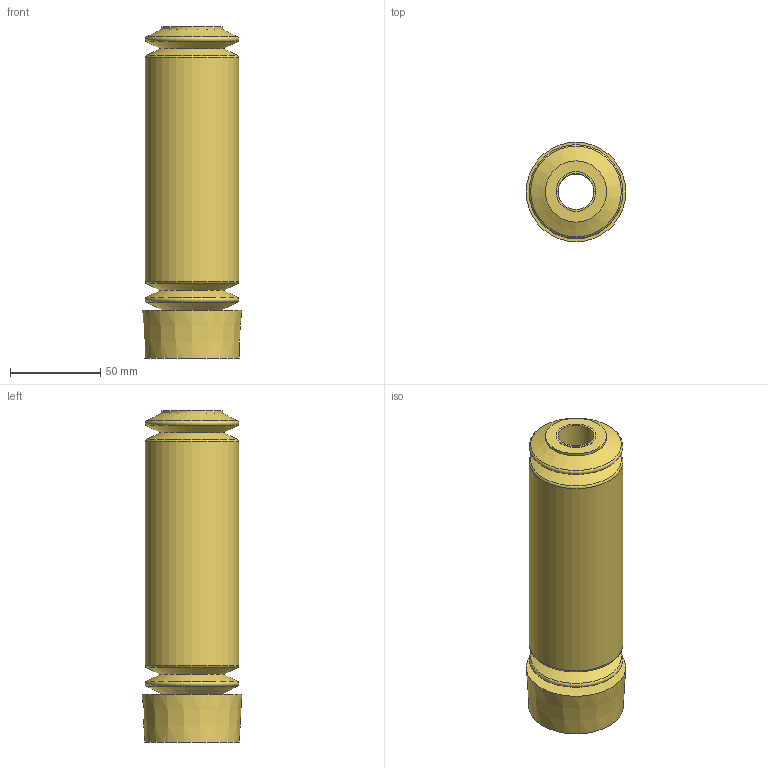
import cadquery as cq
import math

base_height = 26.6
body_top = 184.0
sleeve_top = 184.32

base_top_radius = 55.3 / 2
base_bottom_radius = 52.4 / 2
body_radius = 52.0 / 2
waist_radius = 35.2 / 2
boss_radius = 34.0 / 2
sleeve_radius = 22.0 / 2
bore_radius = 20.0 / 2

port_diameter = 11.45
port_height = 17.25

flank_angle = math.radians(27.0)
ridge_round = 1.5
lower_ridge_height = 32.3
upper_ridge_height = 177.0

round_centre_radius = body_radius - ridge_round

flank_rise = (
    ridge_round / math.cos(flank_angle)
    + (round_centre_radius - waist_radius) * math.tan(flank_angle)
)

lower_waist_height = lower_ridge_height + flank_rise
upper_waist_height = upper_ridge_height - flank_rise
barrel_bottom = lower_waist_height + flank_rise
barrel_top = upper_waist_height - flank_rise


def round_point(centre_height, angle):
    """Point on a ridge round, with the angle measured up from horizontal."""
    return (
        round_centre_radius + ridge_round * math.cos(angle),
        centre_height + ridge_round * math.sin(angle),
    )


def flank_radius(ridge_height, height):
    """Radius where a ridge's straight flank reaches the given height."""
    drop = abs(height - ridge_height) - ridge_round / math.cos(flank_angle)
    return round_centre_radius - drop / math.tan(flank_angle)


def flank_height(ridge_height, radius):
    """Height where a ridge's upper flank reaches the given radius."""
    run = (round_centre_radius - radius) * math.tan(flank_angle)
    return ridge_height + ridge_round / math.cos(flank_angle) + run


def half_profile():
    """Right half of the section, from the bore outwards and up, in (radius, height)."""
    tangent_angle = math.pi / 2 - flank_angle
    half_angle = tangent_angle / 2

    return (
        cq.Workplane("YZ")
        .moveTo(bore_radius, 0)
        .lineTo(base_bottom_radius, 0)
        .lineTo(base_top_radius, base_height)
        .lineTo(flank_radius(lower_ridge_height, base_height), base_height)
        .lineTo(*round_point(lower_ridge_height, -tangent_angle))
        .threePointArc((body_radius, lower_ridge_height), round_point(lower_ridge_height, tangent_angle))
        .lineTo(waist_radius, lower_waist_height)
        .lineTo(*round_point(barrel_bottom, -tangent_angle))
        .threePointArc(round_point(barrel_bottom, -half_angle), (body_radius, barrel_bottom))
        .lineTo(body_radius, barrel_top)
        .threePointArc(round_point(barrel_top, half_angle), round_point(barrel_top, tangent_angle))
        .lineTo(waist_radius, upper_waist_height)
        .lineTo(*round_point(upper_ridge_height, -tangent_angle))
        .threePointArc((body_radius, upper_ridge_height), round_point(upper_ridge_height, tangent_angle))
        .lineTo(boss_radius, flank_height(upper_ridge_height, boss_radius))
        .lineTo(boss_radius, body_top)
        .lineTo(sleeve_radius, body_top)
        .lineTo(sleeve_radius, sleeve_top)
        .lineTo(bore_radius, sleeve_top)
        .close()
    )


def side_port():
    """Radial cylinder running from the bore axis out through the +Y side of the base."""
    return (
        cq.Workplane("XZ", origin=(0, 0, port_height))
        .circle(port_diameter / 2)
        .extrude(-base_top_radius)
    )


body = half_profile().revolve(360, (0, 0, 0), (0, 1, 0))
result = body.cut(side_port())